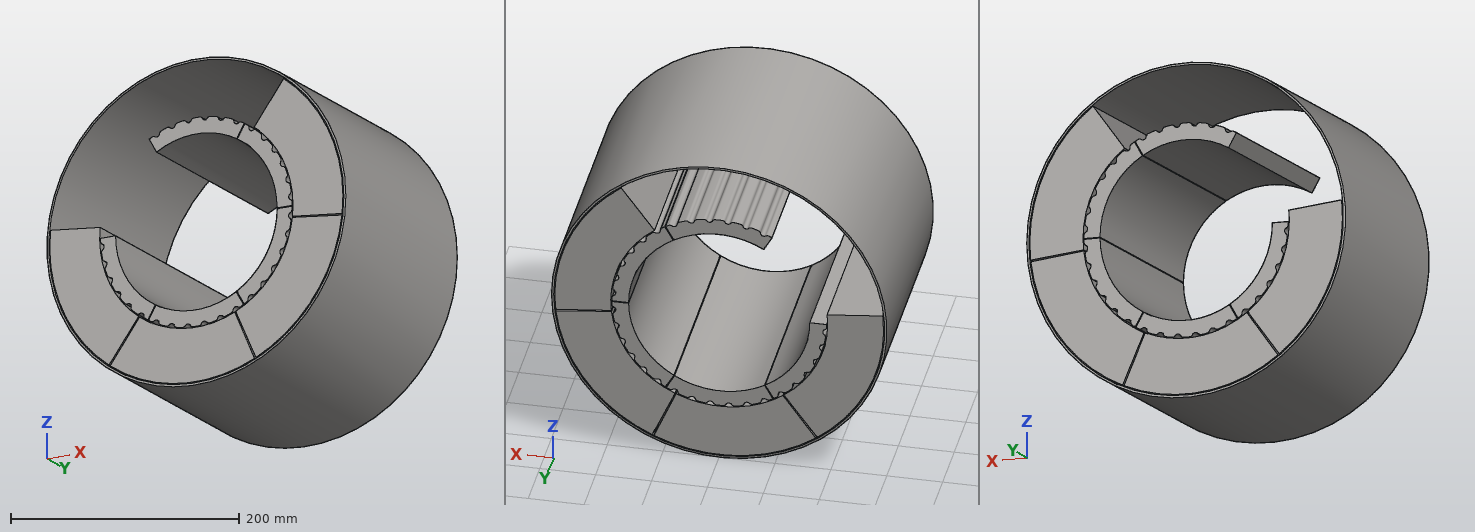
import cadquery as cq
import math

length = 200.0

sleeve_outer_radius = 150.0
sleeve_wall = 2.0
sleeve_inner_radius = sleeve_outer_radius - sleeve_wall

segment_pitch = 60.0

inner_segment_count = 5
inner_segment_inner_radius = 81.0
inner_segment_outer_radius = 96.0
inner_segment_span = 59.5
inner_first_start = 60.0

grooves_per_segment = 6
groove_radius = 3.0
lip_radius = 3.0
groove_pitch = inner_segment_span / grooves_per_segment

outer_segment_count = 4
outer_segment_inner_radius = 97.0
outer_segment_outer_radius = 147.0
outer_segment_span = 59.4
outer_first_start = -6.0

cut_overrun = 2.0


def ring(outer_radius, inner_radius):
    """Plain ring on the Y axis, centred lengthwise on the origin."""
    profile = cq.Workplane("XZ", origin=(0, length / 2, 0)).circle(outer_radius).circle(inner_radius)
    return profile.extrude(length)


def turned(body, angle):
    """Body turned about the Y axis, from +X towards +Z for positive angles."""
    return body.rotate((0, 0, 0), (0, 1, 0), -angle)


def segment(outer_radius, inner_radius, span):
    """Sector of a ring centred on +X, with radial ends that enclose the span angle."""
    half_span = math.radians(span / 2)
    reach_x = outer_radius + cut_overrun
    reach_z = reach_x * math.tan(half_span)
    wedge = (
        cq.Workplane("XZ", origin=(0, length / 2, 0))
        .polyline([(0, 0), (reach_x, -reach_z), (reach_x, reach_z)])
        .close()
        .extrude(length)
    )
    return ring(outer_radius, inner_radius).intersect(wedge)


def groove_cutter():
    """Bar along Y that cuts one groove at +X: a round floor running into two rounded lips."""
    rim = inner_segment_outer_radius
    lip_orbit = rim - lip_radius
    centre_distance = groove_radius + lip_radius
    lip_x = (lip_orbit**2 + rim**2 - centre_distance**2) / (2 * rim)
    lip_z = math.sqrt(lip_orbit**2 - lip_x**2)
    rim_x = lip_x * rim / lip_orbit
    rim_z = lip_z * rim / lip_orbit
    floor_x = rim + (lip_x - rim) * groove_radius / centre_distance
    floor_z = lip_z * groove_radius / centre_distance
    lip_bulge_angle = (math.atan2(lip_z, lip_x) + math.atan2(-lip_z, rim - lip_x)) / 2
    lip_mid_x = lip_x + lip_radius * math.cos(lip_bulge_angle)
    lip_mid_z = lip_z + lip_radius * math.sin(lip_bulge_angle)
    top_x = rim + cut_overrun
    return (
        cq.Workplane("XZ", origin=(0, length / 2, 0))
        .moveTo(top_x, -rim_z)
        .lineTo(rim_x, -rim_z)
        .threePointArc((lip_mid_x, -lip_mid_z), (floor_x, -floor_z))
        .threePointArc((rim - groove_radius, 0), (floor_x, floor_z))
        .threePointArc((lip_mid_x, lip_mid_z), (rim_x, rim_z))
        .lineTo(top_x, rim_z)
        .close()
        .extrude(length)
    )


def grooved_segment():
    """Inner segment with its grooves evenly spread, the end ones half a groove pitch from the ends."""
    body = segment(inner_segment_outer_radius, inner_segment_inner_radius, inner_segment_span)
    for index in range(grooves_per_segment):
        angle = (index - (grooves_per_segment - 1) / 2) * groove_pitch
        body = body.cut(turned(groove_cutter(), angle))
    return body


def segment_row(body, span, first_start, count):
    """Copies of a segment stepping from +Z towards +X; the first begins at the given angle above +X."""
    first_center = first_start + span / 2
    return [turned(body, first_center - index * segment_pitch).val() for index in range(count)]


sleeve = ring(sleeve_outer_radius, sleeve_inner_radius)

inner_segments = segment_row(grooved_segment(), inner_segment_span, inner_first_start, inner_segment_count)

plain_segment = segment(outer_segment_outer_radius, outer_segment_inner_radius, outer_segment_span)
outer_segments = segment_row(plain_segment, outer_segment_span, outer_first_start, outer_segment_count)

result = cq.Compound.makeCompound([sleeve.val(), *inner_segments, *outer_segments])